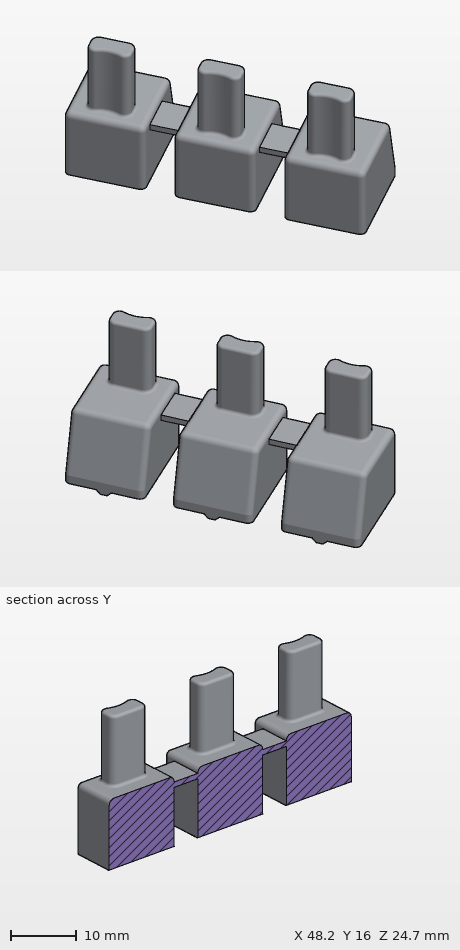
import cadquery as cq
import math

BLOCK_COUNT = 3
BLOCK_PITCH = 17.6

BLOCK_WIDTH = 13.0
BLOCK_DEPTH = 16.0
BLOCK_HEIGHT = 12.0
BACK_FOOT_HEIGHT = 1.5
BACK_LEAN_ANGLE = 15.0
BLOCK_FILLET = 1.0

PIN_WIDTH = 7.0
PIN_HEIGHT = 12.0
PIN_FRONT_Y = 1.85
PIN_BACK_Y = 5.4
PIN_FRONT_CORNER_RADIUS = 1.15
PIN_BACK_CORNER_RADIUS = 1.25
PIN_HOLLOW_RADIUS = 5.2
PIN_TIP_FILLET = 0.5
PIN_ROOT_FILLET = 0.5

TAB_TOP_WIDTH = 2.5
TAB_HEIGHT = 0.7
TAB_BOTTOM_WIDTH = TAB_TOP_WIDTH - 2 * TAB_HEIGHT
TAB_THICKNESS = 1.0

BAR_DEPTH = 6.0
BAR_THICKNESS = 1.0
BAR_FRONT_Y = 2.5
BAR_TOP_Z = BLOCK_HEIGHT - BLOCK_FILLET


def make_block():
    """Block rounded on its upright, leaning and top edges; the underside stays sharp."""
    lean = (BLOCK_HEIGHT - BACK_FOOT_HEIGHT) * math.tan(math.radians(BACK_LEAN_ANGLE))
    side_outline = [
        (0, 0),
        (BLOCK_DEPTH, 0),
        (BLOCK_DEPTH, BACK_FOOT_HEIGHT),
        (BLOCK_DEPTH - lean, BLOCK_HEIGHT),
        (0, BLOCK_HEIGHT),
    ]
    block = cq.Workplane("YZ").polyline(side_outline).close().extrude(BLOCK_WIDTH / 2, both=True)
    upright_edges = block.edges("|Z")
    top_edges = block.faces(">Z").edges()
    leaning_edges = block.edges("not (|X or |Y or |Z)")
    return upright_edges.add(top_edges).add(leaning_edges).fillet(BLOCK_FILLET)


def make_pin():
    """Pin whose front corners run tangent into the arc of the hollow."""
    half_width = PIN_WIDTH / 2
    front_corner_x = half_width - PIN_FRONT_CORNER_RADIUS
    back_corner_x = half_width - PIN_BACK_CORNER_RADIUS
    front_corner_y = PIN_FRONT_Y + PIN_FRONT_CORNER_RADIUS
    back_corner_y = PIN_BACK_Y - PIN_BACK_CORNER_RADIUS

    tangent_angle = math.asin(front_corner_x / (PIN_FRONT_CORNER_RADIUS + PIN_HOLLOW_RADIUS))
    tangent_x = PIN_HOLLOW_RADIUS * math.sin(tangent_angle)
    tangent_y = front_corner_y - PIN_FRONT_CORNER_RADIUS * math.cos(tangent_angle)
    hollow_y = tangent_y + PIN_HOLLOW_RADIUS * (1 - math.cos(tangent_angle))

    outline = (
        cq.Workplane("XY", origin=(0, 0, BLOCK_HEIGHT))
        .moveTo(-tangent_x, tangent_y)
        .threePointArc((0, hollow_y), (tangent_x, tangent_y))
        .tangentArcPoint((half_width, front_corner_y), relative=False)
        .lineTo(half_width, back_corner_y)
        .tangentArcPoint((back_corner_x, PIN_BACK_Y), relative=False)
        .lineTo(-back_corner_x, PIN_BACK_Y)
        .tangentArcPoint((-half_width, back_corner_y), relative=False)
        .lineTo(-half_width, front_corner_y)
        .tangentArcPoint((-tangent_x, tangent_y), relative=False)
        .close()
    )
    return outline.extrude(PIN_HEIGHT).faces(">Z").edges().fillet(PIN_TIP_FILLET)


def add_pin(block):
    """Join the pin to the block with a rounded root."""
    joined = block.union(make_pin())
    margin = PIN_ROOT_FILLET / 2
    root_edges = joined.edges(cq.selectors.BoxSelector(
        (-PIN_WIDTH / 2 - margin, PIN_FRONT_Y - margin, BLOCK_HEIGHT - margin),
        (PIN_WIDTH / 2 + margin, PIN_BACK_Y + margin, BLOCK_HEIGHT + margin),
    ))
    return root_edges.fillet(PIN_ROOT_FILLET)


def make_tab():
    """Tab that narrows downwards, flush with the back of the block."""
    tab_outline = [
        (-TAB_TOP_WIDTH / 2, 0),
        (TAB_TOP_WIDTH / 2, 0),
        (TAB_BOTTOM_WIDTH / 2, -TAB_HEIGHT),
        (-TAB_BOTTOM_WIDTH / 2, -TAB_HEIGHT),
    ]
    back_plane = cq.Workplane("XZ", origin=(0, BLOCK_DEPTH, 0))
    return back_plane.polyline(tab_outline).close().extrude(TAB_THICKNESS)


def make_bar():
    """Bar that runs from the middle of the first block to the middle of the last."""
    length = (BLOCK_COUNT - 1) * BLOCK_PITCH
    bar = cq.Workplane("XY").box(length, BAR_DEPTH, BAR_THICKNESS, centered=(True, False, False))
    return bar.translate((0, BAR_FRONT_Y, BAR_TOP_Z - BAR_THICKNESS))


unit = add_pin(make_block()).union(make_tab())
result = make_bar()
for index in range(BLOCK_COUNT):
    offset_x = (index - (BLOCK_COUNT - 1) / 2) * BLOCK_PITCH
    result = result.union(unit.translate((offset_x, 0, 0)))